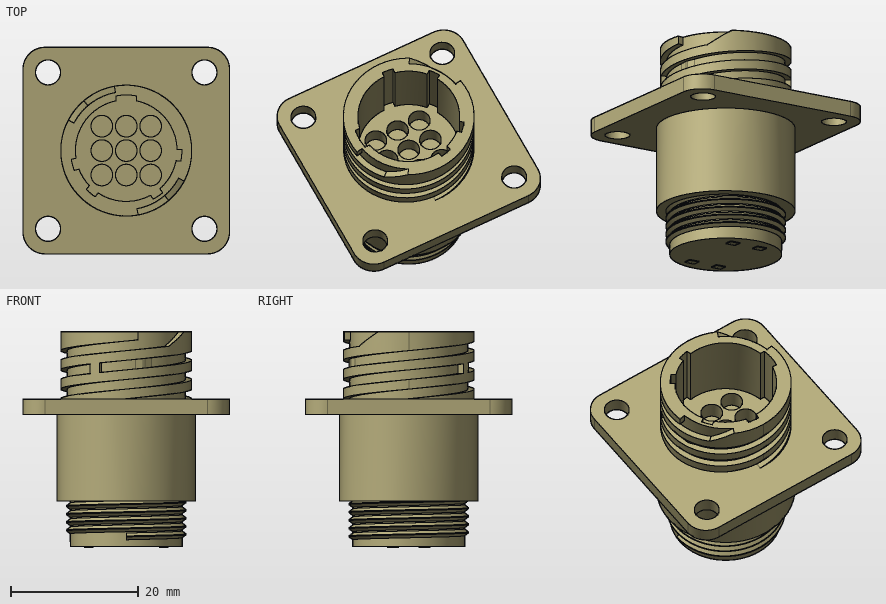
import math

import cadquery as cq

FLANGE_SIDE = 32.54
FLANGE_THICKNESS = 2.45
FLANGE_CORNER_RADIUS = 3.5
MOUNTING_HOLE_DIAMETER = 3.9
MOUNTING_HOLE_SPACING = 24.6

COLLAR_RADIUS = 10.3
COLLAR_HEIGHT = 10.6
COLLAR_TOP = FLANGE_THICKNESS + COLLAR_HEIGHT

SOCKET_RADIUS = 8.0
SOCKET_DEPTH = 11.55
KEYWAY_BOTTOM_RADIUS = 8.75
WIDE_KEYWAY_WIDTH = 3.3
NARROW_KEYWAY_WIDTH = 1.8
WIDE_KEYWAY_ANGLE = 90
NARROW_KEYWAY_ANGLES = (-5, -55, -130, -165)

CONTACT_DIAMETER = 3.4
CONTACT_PITCH = 3.84
CONTACTS_PER_SIDE = 3
CONTACT_DEPTH = 3.0

GROOVE_STARTS = 2
GROOVE_LEAD = 6.05
GROOVE_WIDTH = GROOVE_LEAD / (2 * GROOVE_STARTS)
GROOVE_FLOOR_RADIUS = 9.3
GROOVE_TOP_ANGLE = -49.5
GROOVE_TOP_SHELF = COLLAR_TOP - 2.3
ENTRY_SWEEP = 30.0
RAMP_SWEEP = 21.7
STOP_UPPER_ANGLE = -294.2
STOP_LOWER_ANGLE = -303.4
GROOVE_END_ANGLE = -660.0
CUT_MARGIN = 1.0
CUT_INNER_RADIUS = GROOVE_FLOOR_RADIUS - CUT_MARGIN
CUT_OUTER_RADIUS = COLLAR_RADIUS + CUT_MARGIN

BUMP_UPPER_ANGLE = -244.9
BUMP_CREST_ANGLE = -253.0
BUMP_LOWER_ANGLE = -260.9
BUMP_CREST_HALF_SWEEP = 0.8
BUMP_CREST_RADIUS = 9.55
SEAT_RADIUS = 9.42
BUMP_END_OVERLAP = GROOVE_WIDTH / 4

BODY_RADIUS = 10.925
BODY_LENGTH = 13.6
TAIL_RADIUS = 8.82
TAIL_LENGTH = 7.15
TAIL_END = -BODY_LENGTH - TAIL_LENGTH
THREAD_CREST_RADIUS = 9.42
THREAD_PITCH = 1.27
THREAD_BASE_WIDTH = 1.1
THREAD_CREST_WIDTH = 0.15
THREAD_ROOT_OVERLAP = 0.02
THREAD_START_ANGLE = -90
THREAD_START_HEIGHT = 1.6
THREAD_TURNS = 5

PAD_HEIGHT = 0.15
PAD_LENGTH_X = 1.35
PAD_LENGTH_Y = 1.7
PAD_SPACING_X = 11.8
PAD_SPACING_Y = 5.0


def cylinder(radius, bottom, height):
    return cq.Workplane("XY").workplane(offset=bottom).circle(radius).extrude(height)


def polar(radius, angle):
    return (radius * math.cos(math.radians(angle)), radius * math.sin(math.radians(angle)))


def helical_sweep(section, lead, start_angle, sweep, start_z):
    """Sweep (radius, height) points up a right-hand helix; heights are relative to start_z."""
    rise = lead * sweep / 360
    path = cq.Wire.makeHelix(lead, rise, COLLAR_RADIUS)
    swept = cq.Workplane("XZ").polyline(section).close().sweep(cq.Workplane(path), isFrenet=True)
    return swept.rotate((0, 0, 0), (0, 0, 1), start_angle).translate((0, 0, start_z))


def ring_sector(inner_radius, outer_radius, start_angle, sweep, bottom, height):
    sector = (
        cq.Workplane("XZ")
        .moveTo(inner_radius, bottom)
        .rect(outer_radius - inner_radius, height, centered=False)
        .revolve(sweep, (0, 0, 0), (0, 1, 0))
    )
    return sector.rotate((0, 0, 0), (0, 0, 1), start_angle)


def groove_shelf_z(angle):
    """Height of the lower groove wall at an angle of the first start."""
    return GROOVE_TOP_SHELF + GROOVE_LEAD * (angle - GROOVE_TOP_ANGLE) / 360


def cut_section(height):
    return [
        (CUT_INNER_RADIUS, 0),
        (CUT_OUTER_RADIUS, 0),
        (CUT_OUTER_RADIUS, height),
        (CUT_INNER_RADIUS, height),
    ]


def groove_run(lower_angle, upper_angle):
    sweep = upper_angle - lower_angle
    return helical_sweep(
        cut_section(GROOVE_WIDTH), GROOVE_LEAD, lower_angle, sweep, groove_shelf_z(lower_angle)
    )


def groove_entry():
    """Opening from the top rim down into the groove."""
    depth = COLLAR_TOP - GROOVE_TOP_SHELF
    return ring_sector(
        CUT_INNER_RADIUS,
        CUT_OUTER_RADIUS,
        GROOVE_TOP_ANGLE - ENTRY_SWEEP,
        ENTRY_SWEEP,
        GROOVE_TOP_SHELF,
        depth + CUT_MARGIN,
    )


def entry_ramp():
    """Steep helical ramp from the rim to the groove shelf."""
    depth = COLLAR_TOP - GROOVE_TOP_SHELF
    ramp_lead = depth * 360 / RAMP_SWEEP
    return helical_sweep(
        cut_section(depth + CUT_MARGIN), ramp_lead, GROOVE_TOP_ANGLE, RAMP_SWEEP, GROOVE_TOP_SHELF
    )


def locking_bump():
    """Bump and seat on the groove floor, with ends buried in the ridges above and below."""
    seat_middle = (BUMP_LOWER_ANGLE + STOP_UPPER_ANGLE) / 2
    root_middle = (BUMP_UPPER_ANGLE + STOP_UPPER_ANGLE) / 2
    bottom = groove_shelf_z(STOP_UPPER_ANGLE) - BUMP_END_OVERLAP
    top = groove_shelf_z(BUMP_UPPER_ANGLE) + GROOVE_WIDTH + BUMP_END_OVERLAP
    return (
        cq.Workplane("XY")
        .workplane(offset=bottom)
        .moveTo(*polar(GROOVE_FLOOR_RADIUS, BUMP_UPPER_ANGLE))
        .lineTo(*polar(BUMP_CREST_RADIUS, BUMP_CREST_ANGLE + BUMP_CREST_HALF_SWEEP))
        .lineTo(*polar(BUMP_CREST_RADIUS, BUMP_CREST_ANGLE - BUMP_CREST_HALF_SWEEP))
        .lineTo(*polar(SEAT_RADIUS, BUMP_LOWER_ANGLE))
        .threePointArc(polar(SEAT_RADIUS, seat_middle), polar(SEAT_RADIUS, STOP_UPPER_ANGLE))
        .lineTo(*polar(CUT_INNER_RADIUS, STOP_UPPER_ANGLE))
        .threePointArc(polar(CUT_INNER_RADIUS, root_middle), polar(CUT_INNER_RADIUS, BUMP_UPPER_ANGLE))
        .close()
        .extrude(top - bottom)
    )


def make_collar():
    """Cut the grooves deep into a cylinder, then restore their floor with a plain core."""
    collar = cylinder(COLLAR_RADIUS, FLANGE_THICKNESS, COLLAR_HEIGHT)
    groove_cuts = (
        groove_run(STOP_UPPER_ANGLE, GROOVE_TOP_ANGLE),
        groove_run(GROOVE_END_ANGLE, STOP_LOWER_ANGLE),
        groove_entry(),
        entry_ramp(),
    )
    for start in range(GROOVE_STARTS):
        turn = 360 / GROOVE_STARTS * start
        for cut in groove_cuts:
            collar = collar.cut(cut.rotate((0, 0, 0), (0, 0, 1), turn))
    collar = collar.union(cylinder(GROOVE_FLOOR_RADIUS, FLANGE_THICKNESS, COLLAR_HEIGHT))
    bump = locking_bump()
    for start in range(GROOVE_STARTS):
        turn = 360 / GROOVE_STARTS * start
        collar = collar.union(bump.rotate((0, 0, 0), (0, 0, 1), turn))
    return collar


def make_flange():
    return (
        cq.Workplane("XY")
        .rect(FLANGE_SIDE, FLANGE_SIDE)
        .extrude(FLANGE_THICKNESS)
        .edges("|Z")
        .fillet(FLANGE_CORNER_RADIUS)
        .faces(">Z")
        .workplane()
        .rect(MOUNTING_HOLE_SPACING, MOUNTING_HOLE_SPACING, forConstruction=True)
        .vertices()
        .hole(MOUNTING_HOLE_DIAMETER)
    )


def make_tail():
    root_radius = TAIL_RADIUS - THREAD_ROOT_OVERLAP
    half_base = THREAD_BASE_WIDTH / 2
    half_crest = THREAD_CREST_WIDTH / 2
    thread_section = [
        (root_radius, -half_base),
        (THREAD_CREST_RADIUS, -half_crest),
        (THREAD_CREST_RADIUS, half_crest),
        (root_radius, half_base),
    ]
    thread = helical_sweep(
        thread_section,
        THREAD_PITCH,
        THREAD_START_ANGLE,
        360 * THREAD_TURNS,
        TAIL_END + THREAD_START_HEIGHT,
    )
    return cylinder(TAIL_RADIUS, TAIL_END, TAIL_LENGTH).union(thread)


def make_pads():
    return (
        cq.Workplane("XY")
        .workplane(offset=TAIL_END - PAD_HEIGHT)
        .rarray(PAD_SPACING_X, PAD_SPACING_Y, 2, 2)
        .rect(PAD_LENGTH_X, PAD_LENGTH_Y)
        .extrude(PAD_HEIGHT)
    )


def make_socket():
    """Socket bore with its keyways and contact cavities, as one cutting shape."""
    floor = COLLAR_TOP - SOCKET_DEPTH
    socket = cylinder(SOCKET_RADIUS, floor, SOCKET_DEPTH)
    keyways = [(WIDE_KEYWAY_ANGLE, WIDE_KEYWAY_WIDTH)]
    keyways += [(angle, NARROW_KEYWAY_WIDTH) for angle in NARROW_KEYWAY_ANGLES]
    keyway_limit = cylinder(KEYWAY_BOTTOM_RADIUS, floor, SOCKET_DEPTH)
    for angle, width in keyways:
        slot = cq.Workplane("XY").box(
            KEYWAY_BOTTOM_RADIUS, width, SOCKET_DEPTH, centered=(False, True, False)
        )
        slot = slot.translate((0, 0, floor)).rotate((0, 0, 0), (0, 0, 1), angle)
        socket = socket.union(slot.intersect(keyway_limit))
    contacts = (
        cq.Workplane("XY")
        .workplane(offset=floor - CONTACT_DEPTH)
        .rarray(CONTACT_PITCH, CONTACT_PITCH, CONTACTS_PER_SIDE, CONTACTS_PER_SIDE)
        .circle(CONTACT_DIAMETER / 2)
        .extrude(CONTACT_DEPTH)
    )
    return socket.union(contacts)


body = cylinder(BODY_RADIUS, -BODY_LENGTH, BODY_LENGTH)
shell = make_flange().union(body).union(make_collar()).union(make_tail()).union(make_pads())
result = shell.cut(make_socket())